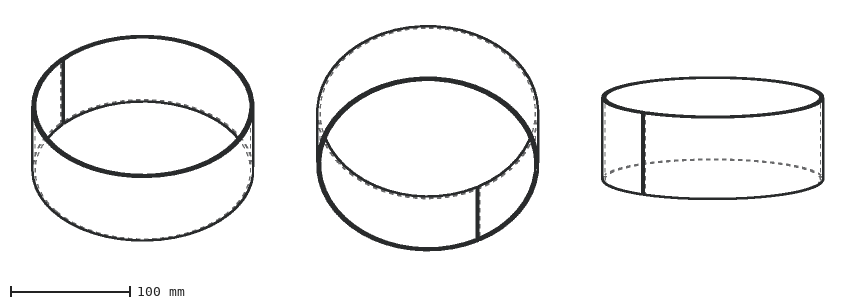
import cadquery as cq

outer_diameter = 185.0
wall_thickness = 2.5
height = 70.0
outer_chamfer = 0.5
inner_chamfer = 0.2
slit_angle = 1.0

outer_radius = outer_diameter / 2
inner_radius = outer_radius - wall_thickness


def wall_section():
    """Section of the wall on the -X side, with all four corners chamfered."""
    return (
        cq.Workplane("XZ")
        .moveTo(-outer_radius + outer_chamfer, 0)
        .lineTo(-inner_radius - inner_chamfer, 0)
        .lineTo(-inner_radius, inner_chamfer)
        .lineTo(-inner_radius, height - inner_chamfer)
        .lineTo(-inner_radius - inner_chamfer, height)
        .lineTo(-outer_radius + outer_chamfer, height)
        .lineTo(-outer_radius, height - outer_chamfer)
        .lineTo(-outer_radius, outer_chamfer)
        .close()
    )


def make_split_band():
    """Revolve the wall section about Z, stopping short to leave the slit."""
    axis_start = (0, 0, 0)
    axis_end = (0, 1, 0)
    return wall_section().revolve(360 - slit_angle, axis_start, axis_end)


result = make_split_band()